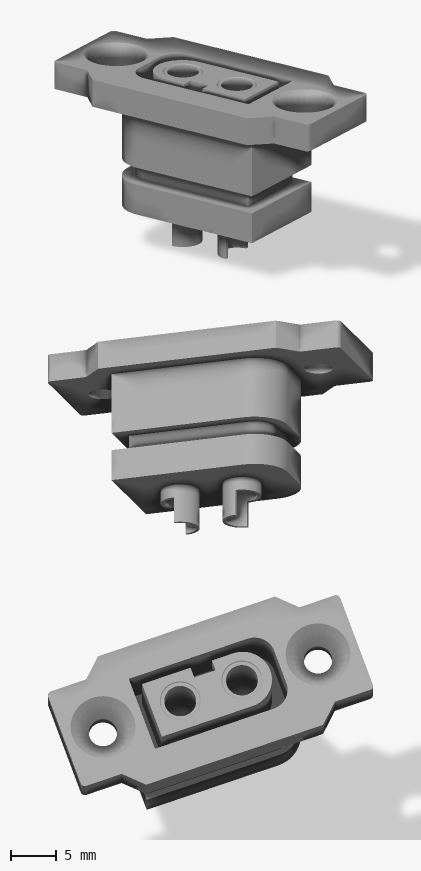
import cadquery as cq


flange_length = 34.0
flange_width = 15.75
flange_end_width = 11.6
flange_thickness = 3.15
flange_wide_half_length = 10.3
flange_step_half_length = 12.4
flange_corner_radius = 0.48
screw_offset = 12.5
screw_hole_diameter = 3.13
countersink_diameter = 7.1
countersink_angle = 90.0

plug_center_x = -0.07
body_length = 19.1
body_width = 11.55
body_corner_radius = 3.8
groove_inset = 1.5
groove_top = 10.03
groove_bottom = 12.05
body_bottom = 15.55

pocket_length = body_length - 2 * groove_inset
pocket_width = body_width - 2 * groove_inset
pocket_corner_radius = body_corner_radius - groove_inset
pocket_depth = 6.8
island_length = 13.77
island_width = 6.45
island_corner_radius = 3.2
key_width = 2.48
key_depth = 1.2

pin_spacing = 7.17
pin_diameter = 4.3
pin_recess = 0.1
pin_bottom = 19.9
bore_diameter = 3.5
socket_straight_depth = 6.8
cup_step_depth = 17.0
cup_straight_top = 17.3


def d_block(length, width, corner_radius, top, bottom):
    """Upright block with its two -X corners rounded, between two depths."""
    return (
        cq.Workplane("XY")
        .workplane(offset=-bottom)
        .center(plug_center_x, 0)
        .rect(length, width)
        .extrude(bottom - top)
        .edges("|Z and <X")
        .fillet(corner_radius)
    )


def upright_cylinder(x, diameter, top, bottom):
    """Vertical cylinder on the X axis, between two depths."""
    return (
        cq.Workplane("XY")
        .workplane(offset=-bottom)
        .center(x, 0)
        .circle(diameter / 2)
        .extrude(bottom - top)
    )


def make_flange():
    half_length = flange_length / 2
    half_width = flange_width / 2
    half_end = flange_end_width / 2
    quarter = [
        (half_length, half_end),
        (flange_step_half_length, half_end),
        (flange_wide_half_length, half_width),
    ]
    upper = quarter + [(-x, y) for x, y in reversed(quarter)]
    lower = [(x, -y) for x, y in reversed(upper)]
    return (
        cq.Workplane("XY")
        .polyline(upper + lower)
        .close()
        .extrude(-flange_thickness)
        .edges("|Z and (<X or >X)")
        .fillet(flange_corner_radius)
        .faces(">Z")
        .workplane(origin=(0, 0, 0))
        .pushPoints([(-screw_offset, 0), (screw_offset, 0)])
        .cskHole(screw_hole_diameter, countersink_diameter, countersink_angle)
    )


def make_island():
    island = d_block(island_length, island_width, island_corner_radius, 0, pocket_depth)
    keyway = (
        cq.Workplane("XY")
        .center(plug_center_x, (key_depth - island_width) / 2)
        .rect(key_width, key_depth)
        .extrude(-pocket_depth)
    )
    return island.cut(keyway)


def make_housing(pin_positions):
    upper_body = d_block(body_length, body_width, body_corner_radius, flange_thickness, groove_top)
    neck = d_block(pocket_length, pocket_width, pocket_corner_radius, groove_top, groove_bottom)
    lower_body = d_block(body_length, body_width, body_corner_radius, groove_bottom, body_bottom)
    pocket = d_block(pocket_length, pocket_width, pocket_corner_radius, 0, pocket_depth)
    housing = make_flange().union(upper_body).union(neck).union(lower_body)
    housing = housing.cut(pocket).union(make_island())
    for x in pin_positions:
        hole = upright_cylinder(x, pin_diameter, 0, body_bottom)
        hole_mouth = (
            cq.Workplane("XY")
            .center(x, 0)
            .circle(pin_diameter / 2 + pin_recess)
            .workplane(offset=-pin_recess)
            .circle(pin_diameter / 2)
            .loft()
        )
        housing = housing.cut(hole).cut(hole_mouth)
    return housing


def round_ended_bore(x, top, bottom, end_depth):
    """Straight bore between two depths with a hemisphere centred at end_depth."""
    bore = upright_cylinder(x, bore_diameter, top, bottom)
    end = cq.Workplane("XY").sphere(bore_diameter / 2).translate((x, 0, -end_depth))
    return bore.union(end)


def make_pin(x, outward):
    """Contact pin at x; the solder cup is open on its outward side (-1 or +1)."""
    pin = upright_cylinder(x, pin_diameter, pin_recess, pin_bottom)
    socket_end = pin_recess + socket_straight_depth
    socket = round_ended_bore(x, pin_recess, socket_end, socket_end)
    cup = round_ended_bore(x, cup_straight_top, pin_bottom, cup_straight_top)
    cup_opening = (
        cq.Workplane("XY")
        .workplane(offset=-pin_bottom)
        .center(x + outward * pin_diameter / 2, 0)
        .rect(pin_diameter, pin_diameter)
        .extrude(pin_bottom - cup_step_depth)
    )
    return pin.cut(socket).cut(cup).cut(cup_opening)


pin_sides = (-1, 1)
pin_positions = [plug_center_x + side * pin_spacing / 2 for side in pin_sides]

housing = make_housing(pin_positions)
pins = [make_pin(x, side) for x, side in zip(pin_positions, pin_sides)]

result = cq.Compound.makeCompound([housing.val(), *[pin.val() for pin in pins]])